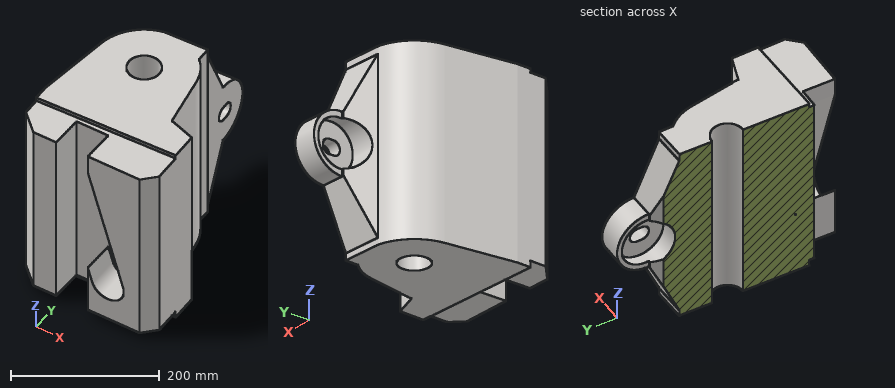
import cadquery as cq
import math

HEIGHT = 296.0
TILT = 1.9
RAIL_BOTTOM = 10.0
RAIL_TOP = 290.5

PIVOT_Y = 184.5
PIVOT_RADIUS = 24.0
BACK_RADIUS = 76.0
LEFT_TANGENT_ANGLE = 174
RIGHT_TANGENT_ANGLE = 10
EAR_SEAT_ANGLE = 46
WEB_START_ANGLE = 102
SEAT_CORNER = (52.0, 261.5)
LEFT_WALL_X = -86.5
RIGHT_WALL_X = 134.0
LEDGE_LEFT_Y = 54.5
LEDGE_RIGHT_Y = 62.0
LEFT_KNEE_Y = 77.7
SHOULDER_OUTER_Y = 103.5
SHOULDER_INNER = (89.5, 116.7)

RAIL_FRONT_LEFT = -57.0
RAIL_FRONT_RIGHT = 114.5
LEFT_CHAMFER_Y = 27.8
RIGHT_CHAMFER_Y = 19.7
SLOT_LEFT = -20.0
SLOT_RIGHT = 31.0
SLOT_DEPTH = 50.0

POCKET_X = 63.0
POCKET_Z = 72.0
POCKET_RADIUS = 26.0
POCKET_SLANT = 17.4

EAR_Y = 303.5
EAR_Z = 147.3
EAR_RADIUS = 48.0
EAR_LEFT = 11.5
EAR_RIGHT = 50.3
EAR_FLOOR = 21.8
RECESS_OFFSET = 2.5
RECESS_RADIUS = 38.0
EYE_LENGTH = 30.2
EYE_WIDTH = 22.5
WEB_TIP_OFFSET = 2.0
WEB_HALF_HEIGHT = 136.7


def back_point(angle):
    """Point on the rounded back, concentric with the pivot hole."""
    turn = math.radians(angle)
    return (BACK_RADIUS * math.cos(turn), PIVOT_Y + BACK_RADIUS * math.sin(turn))


def wall_point(wall_x, y):
    """Point on a side wall that leans by TILT."""
    return (wall_x - y * math.tan(math.radians(TILT)), y)


ledge_left = wall_point(LEFT_WALL_X, LEDGE_LEFT_Y)
ledge_right = wall_point(RIGHT_WALL_X, LEDGE_RIGHT_Y)


def make_body():
    left_middle = (LEFT_TANGENT_ANGLE + WEB_START_ANGLE) / 2
    right_middle = (RIGHT_TANGENT_ANGLE + EAR_SEAT_ANGLE) / 2
    return (
        cq.Workplane("XY")
        .moveTo(*ledge_left)
        .lineTo(*wall_point(LEFT_WALL_X, LEFT_KNEE_Y))
        .lineTo(*back_point(LEFT_TANGENT_ANGLE))
        .threePointArc(back_point(left_middle), back_point(WEB_START_ANGLE))
        .lineTo(*SEAT_CORNER)
        .lineTo(*back_point(EAR_SEAT_ANGLE))
        .threePointArc(back_point(right_middle), back_point(RIGHT_TANGENT_ANGLE))
        .lineTo(*SHOULDER_INNER)
        .lineTo(*wall_point(RIGHT_WALL_X, SHOULDER_OUTER_Y))
        .lineTo(*ledge_right)
        .close()
        .extrude(HEIGHT)
    )


def make_rail():
    outline = [
        ledge_left,
        wall_point(LEFT_WALL_X, LEFT_CHAMFER_Y),
        (RAIL_FRONT_LEFT, 0),
        (RAIL_FRONT_RIGHT, 0),
        wall_point(RIGHT_WALL_X, RIGHT_CHAMFER_Y),
        ledge_right,
    ]
    return (
        cq.Workplane("XY", origin=(0, 0, RAIL_BOTTOM))
        .polyline(outline)
        .close()
        .extrude(RAIL_TOP - RAIL_BOTTOM)
    )


def make_slot():
    return cq.Workplane("XY").box(
        SLOT_RIGHT - SLOT_LEFT, SLOT_DEPTH, HEIGHT, centered=False
    ).translate((SLOT_LEFT, 0, 0))


def make_pocket():
    slant = math.radians(POCKET_SLANT)
    across_x = POCKET_RADIUS * math.cos(slant)
    across_z = POCKET_RADIUS * math.sin(slant)
    right_edge = (POCKET_X + across_x, POCKET_Z + across_z)
    left_edge = (POCKET_X - across_x, POCKET_Z - across_z)
    lowest = (POCKET_X, POCKET_Z - POCKET_RADIUS)

    def slot_wall_point(edge):
        return (SLOT_RIGHT, edge[1] + (edge[0] - SLOT_RIGHT) / math.tan(slant))

    return (
        cq.Workplane("XZ")
        .moveTo(*slot_wall_point(right_edge))
        .lineTo(*right_edge)
        .threePointArc(lowest, left_edge)
        .lineTo(*slot_wall_point(left_edge))
        .close()
        .extrude(-SLOT_DEPTH)
    )


def turn_to_ledge(shape):
    """Lean a part of the ear about a vertical line on its right face."""
    axis = (EAR_RIGHT, EAR_Y)
    return shape.rotate((*axis, 0), (*axis, 1), TILT)


def ear_plane(x):
    return cq.Workplane("YZ", origin=(x, EAR_Y, EAR_Z))


def make_ear():
    root = SEAT_CORNER[1] - EAR_Y
    inside = PIVOT_Y + BACK_RADIUS / 2 - EAR_Y
    web_start = back_point(WEB_START_ANGLE)
    side = [
        (-WEB_TIP_OFFSET, EAR_RADIUS),
        (root, WEB_HALF_HEIGHT),
        (inside, WEB_HALF_HEIGHT),
        (inside, -WEB_HALF_HEIGHT),
        (root, -WEB_HALF_HEIGHT),
        (-WEB_TIP_OFFSET, -EAR_RADIUS),
    ]
    web_side = ear_plane(web_start[0]).polyline(side).close().extrude(EAR_RIGHT - web_start[0])
    plan = [
        (EAR_RIGHT, EAR_Y + RECESS_OFFSET),
        (EAR_LEFT, EAR_Y + RECESS_OFFSET),
        (web_start[0], SEAT_CORNER[1]),
        (web_start[0], EAR_Y + inside),
        (EAR_RIGHT, EAR_Y + inside),
    ]
    web = web_side.intersect(cq.Workplane("XY").polyline(plan).close().extrude(HEIGHT))
    disc = ear_plane(EAR_LEFT).circle(EAR_RADIUS).extrude(EAR_RIGHT - EAR_LEFT)
    return turn_to_ledge(web.union(disc))


def make_ear_cuts():
    floor_x = EAR_RIGHT - EAR_FLOOR
    floor = ear_plane(floor_x).center(RECESS_OFFSET, 0)
    recess = floor.circle(RECESS_RADIUS).extrude(-2 * EAR_RADIUS)
    eye = floor.slot2D(EYE_LENGTH, EYE_WIDTH).extrude(2 * EAR_FLOOR)
    return turn_to_ledge(recess.union(eye))


pivot_hole = cq.Workplane("XY").center(0, PIVOT_Y).circle(PIVOT_RADIUS).extrude(HEIGHT)

block = make_body().union(make_rail())
block = block.cut(make_slot()).cut(make_pocket())
result = block.union(make_ear().cut(make_ear_cuts())).cut(pivot_hole)